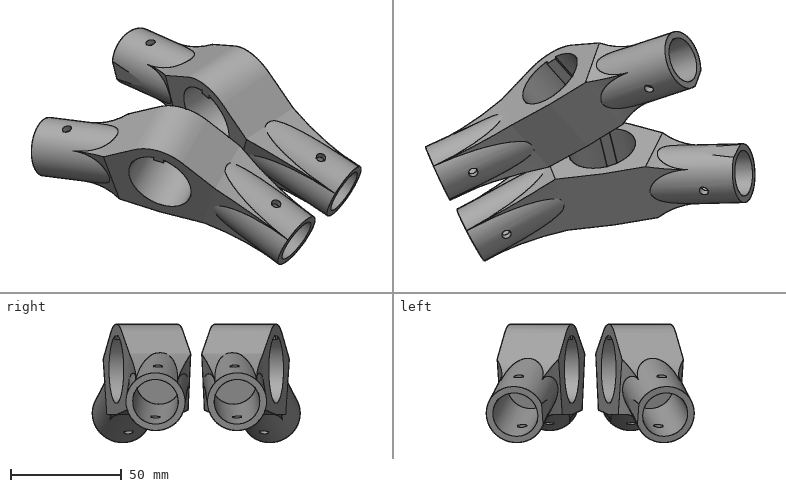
import cadquery as cq
import math

BLOCK_YAW = 12.5
BLOCK_THICKNESS = 28.4
BLOCK_CENTER = cq.Vector(-1.5, -22.1, 0)
HUB_RADIUS = 20.4
BORE_DIAMETER = 30.5

LEFT_TOP = (-27.7, 4.6)
LEFT_BOTTOM = (-19.8, -HUB_RADIUS)
RIGHT_BOTTOM = (21.6, -18.4)
RIGHT_TOP = (27.1, 7.0)

KEY_WIDTH = 4.7
KEY_HEIGHT = 1.9
KEY_OFFSET = -0.7

LEFT_MOUTH = cq.Vector(-62.9, -33.8, -20.4)
RIGHT_MOUTH = cq.Vector(64.7, -18.4, -14.6)
TUBE_DIAMETER = 26.6
TUBE_BORE_DIAMETER = 20.5
TUBE_OVERLAP = 3.4
CROSS_HOLE_DIAMETER = 4.2
CROSS_HOLE_DISTANCE = 15.1

LEFT_TRANSITION_LENGTH = 18.9
MIDDLE_SHARE = 0.45

FLAT_DEPTH = 1.0
FLAT_LENGTH = 24.3

Z_AXIS = cq.Vector(0, 0, 1)
BLOCK_AXIS = cq.Vector(math.cos(math.radians(BLOCK_YAW)), math.sin(math.radians(BLOCK_YAW)), 0)
BORE_AXIS = Z_AXIS.cross(BLOCK_AXIS)
BLOCK_PLANE = cq.Plane(BLOCK_CENTER, BLOCK_AXIS, BORE_AXIS * -1)


def block_point(corner, across=0.0):
    """Position of an outline corner, moved along the bore axis by `across`."""
    return BLOCK_CENTER + BLOCK_AXIS * corner[0] + Z_AXIS * corner[1] + BORE_AXIS * across


def hub_tangent_point(corner, side):
    """Point where the line from a corner touches the hub circle; side is -1 left, 1 right."""
    distance = math.hypot(*corner)
    angle = math.atan2(corner[1], corner[0]) + side * math.acos(HUB_RADIUS / distance)
    return (HUB_RADIUS * math.cos(angle), HUB_RADIUS * math.sin(angle))


def make_block():
    return (
        cq.Workplane(BLOCK_PLANE)
        .moveTo(*LEFT_TOP)
        .lineTo(*LEFT_BOTTOM)
        .lineTo(0, -HUB_RADIUS)
        .lineTo(*RIGHT_BOTTOM)
        .lineTo(*RIGHT_TOP)
        .lineTo(*hub_tangent_point(RIGHT_TOP, 1))
        .threePointArc((0, HUB_RADIUS), hub_tangent_point(LEFT_TOP, -1))
        .close()
        .extrude(BLOCK_THICKNESS / 2, both=True)
    )


def make_main_bore():
    """Cutter for the main bore, notched so that the key rib is left standing."""
    bore = cq.Workplane(BLOCK_PLANE).circle(BORE_DIAMETER / 2).extrude(BLOCK_THICKNESS, both=True)
    key = (
        cq.Workplane(BLOCK_PLANE)
        .center(KEY_OFFSET, BORE_DIAMETER / 2)
        .rect(KEY_WIDTH, 2 * KEY_HEIGHT)
        .extrude(BLOCK_THICKNESS, both=True)
    )
    return bore.cut(key)


def block_end_center(top, bottom):
    return (block_point(top) + block_point(bottom)) * 0.5


def tube_plane(mouth, top, bottom):
    """Plane at the tube mouth: normal into the tube, local Y along the block end's side edge."""
    inward = (block_end_center(top, bottom) - mouth).normalized()
    edge = block_point(top) - block_point(bottom)
    return cq.Plane(mouth, edge.cross(inward), inward)


def tube_length(mouth, top, bottom):
    return (block_end_center(top, bottom) - mouth).Length


def make_tube(mouth, top, bottom):
    length = tube_length(mouth, top, bottom) + TUBE_OVERLAP
    return cq.Workplane(tube_plane(mouth, top, bottom)).circle(TUBE_DIAMETER / 2).extrude(length)


def make_transition(mouth, top, bottom, mouth_distance):
    """Hollow-cornered loft from the block end to the square inscribed in the tube section."""
    half = BLOCK_THICKNESS / 2
    end_corners = [
        block_point(top, half),
        block_point(top, -half),
        block_point(bottom, -half),
        block_point(bottom, half),
    ]
    plane = tube_plane(mouth, top, bottom)
    reach = TUBE_DIAMETER / 2 * math.sqrt(0.5)
    facing = math.copysign(reach, plane.xDir.dot(BORE_AXIS))
    square = [(facing, reach), (-facing, reach), (-facing, -reach), (facing, -reach)]
    tube_corners = [plane.toWorldCoords((x, y, mouth_distance)) for x, y in square]
    remaining = (1 - MIDDLE_SHARE) ** 2
    middle_corners = []
    for start, finish in zip(end_corners, tube_corners):
        along = (finish - start).dot(plane.zDir)
        inset = finish - start - plane.zDir * along
        middle_corners.append(start + plane.zDir * (along * MIDDLE_SHARE) + inset * (1 - remaining))
    sections = (end_corners, middle_corners, tube_corners)
    wires = [cq.Wire.makePolygon(points, close=True) for points in sections]
    return cq.Workplane(cq.Solid.makeLoft(wires, False))


def make_tube_cuts(mouth, top, bottom):
    """Cutter for the blind tube bore and the cross hole through both walls."""
    plane = tube_plane(mouth, top, bottom)
    bore = (
        cq.Workplane(plane)
        .circle(TUBE_BORE_DIAMETER / 2)
        .extrude(tube_length(mouth, top, bottom))
    )
    hole_center = plane.toWorldCoords((0, 0, CROSS_HOLE_DISTANCE))
    cross_hole = (
        cq.Workplane(cq.Plane(hole_center, plane.xDir, plane.yDir))
        .circle(CROSS_HOLE_DIAMETER / 2)
        .extrude(TUBE_DIAMETER, both=True)
    )
    return bore.union(cross_hole)


def make_left_flat():
    """Cutter whose face is the flat on the inner side of the left tube."""
    plane = tube_plane(LEFT_MOUTH, LEFT_TOP, LEFT_BOTTOM)
    inner_side = plane.xDir * math.copysign(1, plane.xDir.dot(BORE_AXIS))
    start = LEFT_MOUTH + inner_side * (TUBE_DIAMETER / 2 - FLAT_DEPTH)
    return (
        cq.Workplane(cq.Plane(start, BLOCK_AXIS, BORE_AXIS))
        .rect(2 * FLAT_LENGTH, TUBE_DIAMETER)
        .extrude(TUBE_DIAMETER / 2)
    )


def make_connector():
    left = (LEFT_MOUTH, LEFT_TOP, LEFT_BOTTOM)
    right = (RIGHT_MOUTH, RIGHT_TOP, RIGHT_BOTTOM)
    left_start = tube_length(*left) - LEFT_TRANSITION_LENGTH
    body = make_block()
    left_tube = make_tube(*left).cut(make_left_flat())
    body = body.union(left_tube).union(make_transition(*left, left_start))
    body = body.union(make_tube(*right)).union(make_transition(*right, 0))
    body = body.cut(make_main_bore())
    for socket in (left, right):
        body = body.cut(make_tube_cuts(*socket))
    return body


near_connector = make_connector()
far_connector = near_connector.mirror("XZ")

result = cq.Compound.makeCompound([near_connector.val(), far_connector.val()])